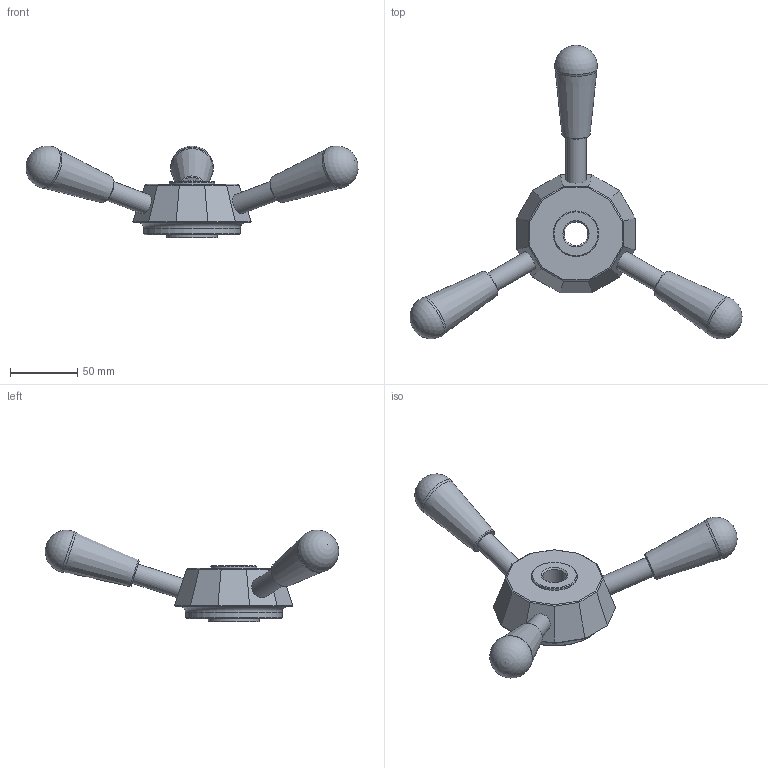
import cadquery as cq
import math

FLANGE_BASE_Z = 2.5
NECK_BASE_Z = 7.0
HUB_BASE_Z = 11.5
HUB_TOP_Z = 40.0
COLLAR_TOP_Z = 42.0

BOTTOM_DISC_DIAMETER = 38.0
FLANGE_DIAMETER = 72.0
COLLAR_DIAMETER = 34.0
BORE_DIAMETER = 17.5

HUB_SIDES = 12
HUB_BASE_ACROSS_FLATS = 88.5
TILT_ANGLE = 18.0
HUB_EDGE_CHAMFER = 0.7

FLANGE_CHAMFER = 0.5
COLLAR_CHAMFER = 0.6
BORE_CHAMFER = 1.0

ARM_COUNT = 3
FIRST_ARM_ANGLE = 90.0
BALL_RADIUS = 16.0
BALL_CENTRE_REACH = 124.4
OVERALL_HEIGHT = 68.49
BALL_CENTRE_Z = OVERALL_HEIGHT - BALL_RADIUS
ROD_DIAMETER = 15.0
ROD_ROOT_REACH = 25.0

BALL_EDGE = 0.8
SHOULDER = 2.5
GRIP_LENGTH = 53.5
SHOULDER_RADIUS = 15.5
GRIP_END_RADIUS = 10.5
GRIP_END_CHAMFER = 0.8


def make_hub():
    """Chamfered twelve-sided frustum with two faces square to the Y axis."""
    circumscribed = HUB_BASE_ACROSS_FLATS / math.cos(math.pi / HUB_SIDES)
    half_side_angle = 180 / HUB_SIDES
    return (
        cq.Workplane("XY")
        .workplane(offset=HUB_BASE_Z)
        .transformed(rotate=(0, 0, half_side_angle))
        .polygon(HUB_SIDES, circumscribed)
        .extrude(HUB_TOP_Z - HUB_BASE_Z, taper=TILT_ANGLE)
        .faces("<Z or >Z")
        .edges()
        .chamfer(HUB_EDGE_CHAMFER)
    )


def make_turned_body():
    """Bottom disc, flange with its concave neck, and top collar."""
    disc_radius = BOTTOM_DISC_DIAMETER / 2
    flange_radius = FLANGE_DIAMETER / 2
    collar_radius = COLLAR_DIAMETER / 2
    neck_radius = HUB_BASE_Z - NECK_BASE_Z
    diagonal = neck_radius * math.sqrt(0.5)
    neck_top_radius = flange_radius + neck_radius
    return (
        cq.Workplane("XZ")
        .moveTo(0, 0)
        .lineTo(disc_radius, 0)
        .lineTo(disc_radius, FLANGE_BASE_Z)
        .lineTo(flange_radius - FLANGE_CHAMFER, FLANGE_BASE_Z)
        .lineTo(flange_radius, FLANGE_BASE_Z + FLANGE_CHAMFER)
        .lineTo(flange_radius, NECK_BASE_Z)
        .threePointArc((neck_top_radius - diagonal, NECK_BASE_Z + diagonal), (neck_top_radius, HUB_BASE_Z))
        .lineTo(collar_radius, HUB_BASE_Z)
        .lineTo(collar_radius, COLLAR_TOP_Z - COLLAR_CHAMFER)
        .lineTo(collar_radius - COLLAR_CHAMFER, COLLAR_TOP_Z)
        .lineTo(0, COLLAR_TOP_Z)
        .close()
        .revolve(360, (0, 0), (0, 1))
    )


def make_arm(turn):
    """Rod, tapered grip and ball, turned about the Z axis by the given angle."""
    rod_radius = ROD_DIAMETER / 2
    rod_root = (BALL_CENTRE_REACH - ROD_ROOT_REACH) / math.cos(math.radians(TILT_ANGLE))
    ball_edge_radius = math.sqrt(BALL_RADIUS**2 - BALL_EDGE**2)
    arm = (
        cq.Workplane("XY")
        .moveTo(BALL_RADIUS, 0)
        .threePointArc((0, BALL_RADIUS), (-BALL_EDGE, ball_edge_radius))
        .lineTo(-SHOULDER, SHOULDER_RADIUS)
        .lineTo(-GRIP_LENGTH + GRIP_END_CHAMFER, GRIP_END_RADIUS)
        .lineTo(-GRIP_LENGTH, GRIP_END_RADIUS - GRIP_END_CHAMFER)
        .lineTo(-GRIP_LENGTH, rod_radius)
        .lineTo(-rod_root, rod_radius)
        .lineTo(-rod_root, 0)
        .close()
        .revolve(360, (0, 0), (1, 0))
    )
    return (
        arm.rotate((0, 0, 0), (0, 1, 0), -TILT_ANGLE)
        .translate((BALL_CENTRE_REACH, 0, BALL_CENTRE_Z))
        .rotate((0, 0, 0), (0, 0, 1), turn)
    )


def make_bore():
    """Through bore with a chamfered mouth at the collar."""
    bore_radius = BORE_DIAMETER / 2
    return (
        cq.Workplane("XZ")
        .lineTo(bore_radius, 0)
        .lineTo(bore_radius, COLLAR_TOP_Z - BORE_CHAMFER)
        .lineTo(bore_radius + BORE_CHAMFER, COLLAR_TOP_Z)
        .lineTo(0, COLLAR_TOP_Z)
        .close()
        .revolve(360, (0, 0), (0, 1))
    )


result = make_turned_body().union(make_hub())
for index in range(ARM_COUNT):
    result = result.union(make_arm(FIRST_ARM_ANGLE + index * 360 / ARM_COUNT))
result = result.cut(make_bore())